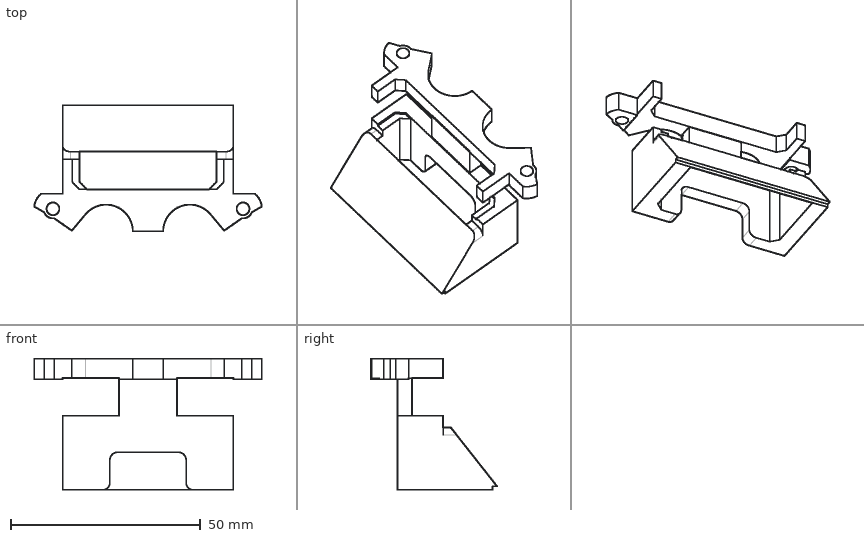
import cadquery as cq
import math

total_height = 34.55
plate_bottom = 29.1
relieved_plate_bottom = 29.45
shoulder_height = 19.55
recess_floor = 18.9
ramp_top = 16.5

front_y = 6.95
column_back = 10.85
pocket_front = 11.05
shoulder_back = 19.0
ramp_top_y = 21.0
base_back = 32.0
tip_y = 33.2
tip_height = 0.95

body_half_width = 22.5
pocket_half_width = 18.0
column_half_width = 7.7
arm_thickness = 2.5
corner_size = 2.0
panel_thickness = 1.7

opening_half_width = 10.0
opening_height = 9.9
opening_radius = 2.0

nose_half_width = 4.0
scallop_radius = 7.0
scallop_x = nose_half_width + scallop_radius
scallop_end_angle = math.radians(39)
scallop_middle_angle = (math.pi + scallop_end_angle) / 2
prong_x, prong_y = 20.0, 0.2
ear_back = 9.95
ear_back_x = 28.05
ear_side = (29.2, 8.7)
ear_tip = (30.0, 6.55)
hole_x, hole_y = 25.0, 5.95
hole_radius = 1.65
boss_radius = 2.5
boss_start_angle = math.radians(-97)
boss_end_angle = math.radians(-21)
boss_middle_angle = (boss_start_angle + boss_end_angle) / 2


def box(x0, x1, y0, y1, z0, z1):
    """Box given by its limits along each axis."""
    return cq.Workplane("XY").box(x1 - x0, y1 - y0, z1 - z0, centered=False).translate((x0, y0, z0))


def on_circle(center_x, center_y, radius, angle):
    return (center_x + radius * math.cos(angle), center_y + radius * math.sin(angle))


def both_sides(right_half):
    """Join a right-hand shape with its mirror image."""
    return right_half.union(right_half.mirror("YZ"))


def make_plate():
    """Top plate with two scallops, drilled ears and two rear arms."""
    right_half = (
        cq.Workplane("XY", origin=(0, 0, plate_bottom))
        .lineTo(nose_half_width, 0)
        .threePointArc(
            on_circle(scallop_x, 0, scallop_radius, scallop_middle_angle),
            on_circle(scallop_x, 0, scallop_radius, scallop_end_angle),
        )
        .lineTo(prong_x, prong_y)
        .lineTo(*on_circle(hole_x, hole_y, boss_radius, boss_start_angle))
        .threePointArc(
            on_circle(hole_x, hole_y, boss_radius, boss_middle_angle),
            on_circle(hole_x, hole_y, boss_radius, boss_end_angle),
        )
        .lineTo(*ear_tip)
        .threePointArc(ear_side, (ear_back_x, ear_back))
        .lineTo(body_half_width, ear_back)
        .lineTo(body_half_width, shoulder_back)
        .lineTo(body_half_width - arm_thickness, shoulder_back)
        .lineTo(body_half_width - arm_thickness, pocket_front + corner_size)
        .lineTo(body_half_width - arm_thickness - corner_size, pocket_front)
        .lineTo(0, pocket_front)
        .close()
        .extrude(total_height - plate_bottom)
    )
    hole = (
        cq.Workplane("XY", origin=(hole_x, hole_y, plate_bottom))
        .circle(hole_radius)
        .extrude(total_height - plate_bottom)
    )
    relief = box(column_half_width, body_half_width, 0, shoulder_back, plate_bottom, relieved_plate_bottom)
    rear_relief = box(0, column_half_width, column_back, shoulder_back, plate_bottom, relieved_plate_bottom)
    return both_sides(right_half.cut(hole).cut(relief).cut(rear_relief))


def make_shell():
    """Open box with a sloping rear panel and rounded ledges beside the panel's top edge."""
    body = (
        cq.Workplane("YZ", origin=(-body_half_width, 0, 0))
        .polyline([
            (front_y, 0),
            (base_back, 0),
            (base_back, tip_height),
            (tip_y, tip_height),
            (ramp_top_y, ramp_top),
            (shoulder_back, ramp_top),
            (shoulder_back, shoulder_height),
            (front_y, shoulder_height),
        ])
        .close()
        .extrude(2 * body_half_width)
    )
    return body.cut(make_pocket()).cut(make_shoulder_recess()).cut(make_ledge_rounding())


def make_pocket():
    """Cavity open above and below, with chamfered front corners and a sloping rear."""
    run = tip_y - ramp_top_y
    rise = ramp_top - tip_height
    panel_depth = panel_thickness * math.hypot(run, rise) / rise
    pocket_back = tip_y + tip_height * run / rise - panel_depth
    panel_edge_bottom = (pocket_back - ramp_top_y) * rise / run
    pocket = (
        cq.Workplane("YZ", origin=(-pocket_half_width, 0, 0))
        .moveTo(pocket_front, 0)
        .lineTo(pocket_back, 0)
        .lineTo(ramp_top_y, panel_edge_bottom)
        .lineTo(ramp_top_y, shoulder_height)
        .lineTo(pocket_front, shoulder_height)
        .close()
        .extrude(2 * pocket_half_width)
    )
    return pocket.faces("<Y").edges("|Z").chamfer(corner_size)


def make_shoulder_recess():
    """Shallow widening of the cavity at shoulder level, open at the rear."""
    half_width = body_half_width - arm_thickness
    recess = box(-half_width, half_width, pocket_front, shoulder_back, recess_floor, shoulder_height)
    return recess.faces("<Y").edges("|Z").chamfer(corner_size)


def make_ledge_rounding():
    """Material removed to round the outer edges of the ledges behind the shoulders."""
    length = tip_y - shoulder_back
    inner_x = body_half_width - corner_size
    ledge_bottom = ramp_top - corner_size
    corner = box(inner_x, body_half_width, shoulder_back, tip_y, ledge_bottom, ramp_top)
    round_bar = (
        cq.Workplane("XZ", origin=(inner_x, shoulder_back, ledge_bottom))
        .circle(corner_size)
        .extrude(-length)
    )
    return both_sides(corner.cut(round_bar))


def make_front_opening():
    """Opening through the front wall, rounded at the top and flared at the bottom."""
    r = opening_radius
    w = opening_half_width
    h = opening_height
    bend = r * (1 - math.sqrt(0.5))
    return (
        cq.Workplane("XZ", origin=(0, front_y, 0))
        .moveTo(-w - r, 0)
        .threePointArc((-w - bend, bend), (-w, r))
        .lineTo(-w, h - r)
        .threePointArc((-w + bend, h - bend), (-w + r, h))
        .lineTo(w - r, h)
        .threePointArc((w - bend, h - bend), (w, h - r))
        .lineTo(w, r)
        .threePointArc((w + bend, bend), (w + r, 0))
        .close()
        .extrude(front_y - pocket_front)
    )


column = box(-column_half_width, column_half_width, front_y, column_back, shoulder_height, total_height)
shell = make_shell().cut(make_front_opening())
result = shell.union(column).union(make_plate())